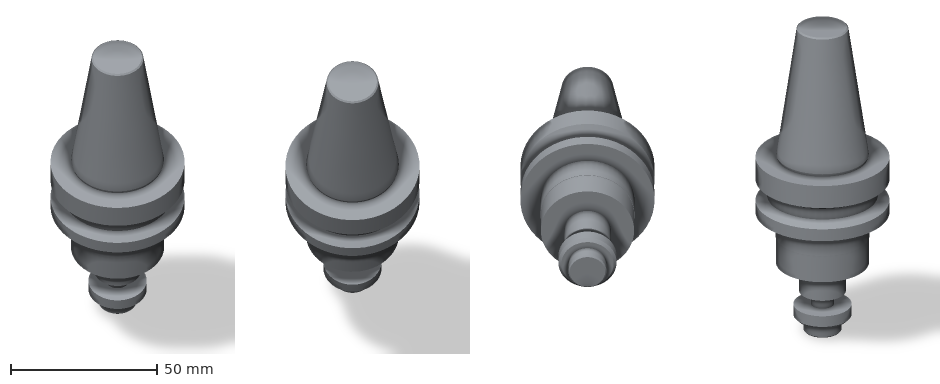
import cadquery as cq

total_height = 115.4

screw_tip_diameter = 13.0
screw_tip_chamfer = 0.5
screw_head_diameter = 20.0
screw_head_bottom = 5.0
screw_head_top = 10.0
screw_head_chamfer = 1.0
screw_shank_diameter = 7.8

pilot_diameter = 16.0
pilot_bottom = 15.0
lower_body_diameter = 32.0
lower_body_bottom = 26.0
upper_body_diameter = 32.2
upper_body_bottom = 36.0

flange_diameter = 45.9
flange_bottom = 45.0
flange_top = 66.0
groove_diameter = 38.0
groove_lower_edge = 49.5
groove_upper_edge = 57.6
groove_upper_side_height = 2.2
groove_lower_side_height = 1.8

taper_large_diameter = 31.7
taper_bottom = 67.0
taper_ratio = 7 / 24
neck_diameter = 31.2
taper_top_chamfer = 0.5
taper_small_diameter = taper_large_diameter - taper_ratio * (total_height - taper_bottom)


def cylinder(diameter, bottom, top):
    """Upright cylinder between two heights on the Z axis."""
    return cq.Workplane("XY").workplane(offset=bottom).circle(diameter / 2).extrude(top - bottom)


def clamping_screw():
    tip = cylinder(screw_tip_diameter, 0, screw_head_bottom)
    tip = tip.faces("<Z").chamfer(screw_tip_chamfer)
    head = cylinder(screw_head_diameter, screw_head_bottom, screw_head_top)
    head = head.faces("<Z").chamfer(screw_head_chamfer)
    shank = cylinder(screw_shank_diameter, screw_head_top, pilot_bottom)
    return tip.union(head).union(shank)


def stepped_body():
    pilot = cylinder(pilot_diameter, pilot_bottom, lower_body_bottom)
    lower_body = cylinder(lower_body_diameter, lower_body_bottom, upper_body_bottom)
    upper_body = cylinder(upper_body_diameter, upper_body_bottom, flange_bottom)
    return pilot.union(lower_body).union(upper_body)


def flange():
    outer_radius = flange_diameter / 2
    groove_radius = groove_diameter / 2
    profile = (
        cq.Workplane("XZ")
        .moveTo(0, flange_bottom)
        .lineTo(outer_radius, flange_bottom)
        .lineTo(outer_radius, groove_lower_edge)
        .lineTo(groove_radius, groove_lower_edge + groove_lower_side_height)
        .lineTo(groove_radius, groove_upper_edge - groove_upper_side_height)
        .lineTo(outer_radius, groove_upper_edge)
        .lineTo(outer_radius, flange_top)
        .lineTo(0, flange_top)
        .close()
    )
    return profile.revolve(360, (0, 0, 0), (0, 1, 0))


def tapered_shank():
    neck = cylinder(neck_diameter, flange_top, taper_bottom)
    taper = (
        cq.Workplane("XY")
        .workplane(offset=taper_bottom)
        .circle(taper_large_diameter / 2)
        .workplane(offset=total_height - taper_bottom)
        .circle(taper_small_diameter / 2)
        .loft(combine=True)
    )
    taper = taper.faces(">Z").chamfer(taper_top_chamfer)
    return neck.union(taper)


result = clamping_screw().union(stepped_body()).union(flange()).union(tapered_shank())